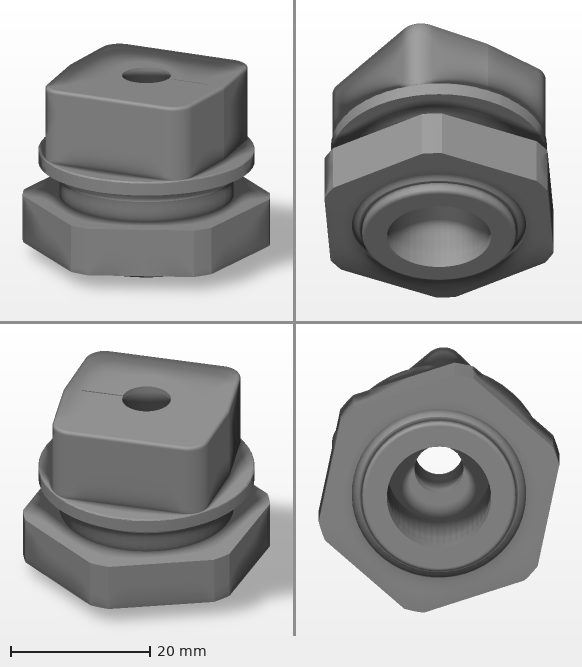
import cadquery as cq
import math


total_height = 27.0
flange_top = 16.0
flange_thickness = 2.02
flange_bottom = flange_top - flange_thickness
head_height = total_height - flange_top

flange_radius = 15.5
flange_edge_round = 0.2
stem_radius = 12.5
stem_chamfer = 1.0
groove_width = 2.0
groove_depth = 0.85
tip_radius = 11.0
tip_height = 1.55
tip_edge_round = 0.5
bore_radius = 7.47

head_ridge_half_width = 12.3
head_half_depth = 12.05
head_side_slope = 5.0
head_corner_radius = 3.0
head_edge_round = 0.5

grommet_width = 19.05
grommet_depth = 20.0
cable_hole_diameter = 7.0
slit_width = 0.2

nut_sides = 6
nut_across_flats = 32.05
nut_corner_radius = 17.75
nut_bottom = 2.0
nut_height = 7.0
nut_turn = -8.0


def stem_and_flange():
    """Turned lower part of the housing, from the tip up to the flange top."""
    groove_bottom = flange_bottom - groove_width
    groove_middle = flange_bottom - groove_width / 2
    lower_part = (
        cq.Workplane("XZ")
        .moveTo(0, 0)
        .lineTo(tip_radius, 0)
        .lineTo(tip_radius, tip_height)
        .lineTo(stem_radius - stem_chamfer, tip_height)
        .lineTo(stem_radius, tip_height + stem_chamfer)
        .lineTo(stem_radius, groove_bottom)
        .threePointArc((stem_radius - groove_depth, groove_middle), (stem_radius, flange_bottom))
        .lineTo(flange_radius, flange_bottom)
        .lineTo(flange_radius, flange_top)
        .lineTo(0, flange_top)
        .close()
        .revolve(360, (0, 0, 0), (0, 1, 0))
    )
    lower_part = lower_part.faces("<Z").edges().fillet(tip_edge_round)
    return lower_part.faces(">Z").edges().fillet(flange_edge_round)


def head():
    """Six-sided block with rounded corners and a rounded top rim."""
    side_bulge = head_half_depth * math.tan(math.radians(head_side_slope))
    corner_x = head_ridge_half_width - side_bulge
    outline = [
        (corner_x, -head_half_depth),
        (head_ridge_half_width, 0),
        (corner_x, head_half_depth),
        (-corner_x, head_half_depth),
        (-head_ridge_half_width, 0),
        (-corner_x, -head_half_depth),
    ]
    block = cq.Workplane("XY").workplane(offset=flange_top).polyline(outline).close().extrude(head_height)
    block = block.edges("|Z").edges(">Y or <Y").fillet(head_corner_radius)
    return block.faces(">Z").edges().fillet(head_edge_round)


def grommet_block():
    """Plain block that fills the pocket in the head."""
    return (
        cq.Workplane("XY")
        .workplane(offset=flange_top)
        .rect(grommet_width, grommet_depth)
        .extrude(head_height)
    )


def whole_housing():
    """Both housing halves together, with the grommet pocket and the stem bore."""
    bore = cq.Workplane("XY").circle(bore_radius).extrude(flange_top)
    return stem_and_flange().union(head()).cut(grommet_block()).cut(bore)


def housing_half(housing, side):
    """The part of the housing on one side of the split plane Y = 0 (side is -1 or +1)."""
    half_space = (
        cq.Workplane("XY")
        .center(0, side * flange_radius)
        .rect(4 * flange_radius, 2 * flange_radius)
        .extrude(total_height)
    )
    return housing.intersect(half_space)


def slit_grommet():
    """Block with the cable hole and a slit from the hole out to the +X side."""
    slit_length = grommet_width / 2
    slit = (
        cq.Workplane("XY")
        .workplane(offset=flange_top)
        .center(slit_length / 2, 0)
        .rect(slit_length, slit_width)
        .extrude(head_height)
    )
    return grommet_block().faces(">Z").workplane().hole(cable_hole_diameter).cut(slit)


def hexagonal_nut():
    """Hexagon with its corners cut back to a cylinder, bored to fit the stem."""
    half_sector = 180 / nut_sides
    sharp_corner_diameter = nut_across_flats / math.cos(math.radians(half_sector))
    hexagon = cq.Workplane("XY").polygon(nut_sides, sharp_corner_diameter).extrude(nut_height)
    hexagon = hexagon.rotate((0, 0, 0), (0, 0, 1), nut_turn + half_sector)
    corner_cylinder = cq.Workplane("XY").circle(nut_corner_radius).extrude(nut_height)
    stem_hole = cq.Workplane("XY").circle(stem_radius).extrude(nut_height)
    return hexagon.intersect(corner_cylinder).cut(stem_hole).translate((0, 0, nut_bottom))


housing = whole_housing()
housing_halves = [housing_half(housing, side).val() for side in (-1, 1)]
grommet = slit_grommet()
nut = hexagonal_nut()

result = cq.Compound.makeCompound([*housing_halves, grommet.val(), nut.val()])